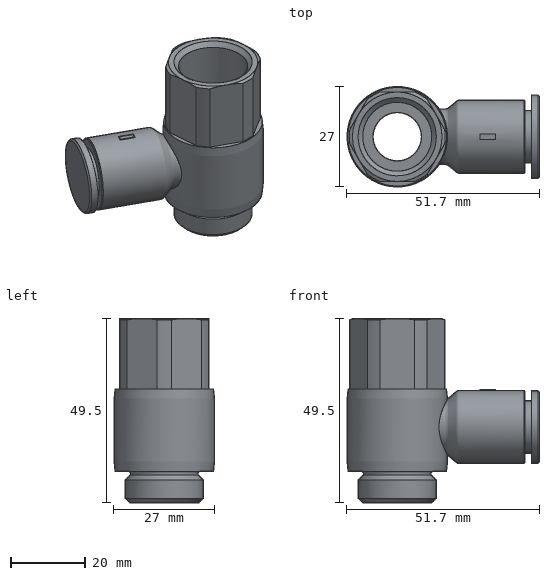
import cadquery as cq
import math

body_radius = 13.5
body_bottom = 8.45
body_top = 30.6
body_taper_height = 2.6
body_taper_depth = 0.25

spigot_radius = 10.5
spigot_chamfer = 1.25
undercut_bottom = 7.55
undercut_radius = 9.1
undercut_fillet = 0.45

total_height = 49.5
hex_sides = 6
hex_across_flats = 24.0
hex_corner_radius = 12.85
hex_chamfer_height = 0.35

through_radius = 6.45
socket_radius = 9.25
socket_depth = 15.0
socket_mouth_radius = spigot_radius

branch_z = 20.35
branch_end = 38.2
stub_radius = 7.5
stub_end = 13.45
barrel_radius = 9.8
barrel_end = 34.3
shoulder_angle = 40.0
shoulder_fillet = 1.0
barrel_chamfer = 0.25
neck_radius = 7.1

collar_thickness = 2.2
collar_half_width = 11.25
collar_half_height = 9.75
collar_chamfer = 0.45

mark_start = 22.3
mark_length = 4.1
mark_width = 1.5
mark_height = 0.2


def make_sleeve():
    height = body_top - body_bottom
    end_radius = body_radius - body_taper_depth
    profile = (
        cq.Workplane("XZ", origin=(0, 0, body_bottom))
        .lineTo(end_radius, 0)
        .lineTo(body_radius, body_taper_height)
        .lineTo(body_radius, height - body_taper_height)
        .lineTo(end_radius, height)
        .lineTo(0, height)
        .close()
    )
    return profile.revolve(360, (0, 0, 0), (0, 1, 0))


def make_spigot():
    flank_height = spigot_radius - undercut_radius
    fillet_start = body_bottom - undercut_fillet
    fillet_reach = undercut_fillet * (1 - math.sqrt(0.5))
    profile = (
        cq.Workplane("XZ")
        .lineTo(spigot_radius - spigot_chamfer, 0)
        .lineTo(spigot_radius, spigot_chamfer)
        .lineTo(spigot_radius, undercut_bottom - flank_height)
        .lineTo(undercut_radius, undercut_bottom)
        .lineTo(undercut_radius, fillet_start)
        .threePointArc(
            (undercut_radius + fillet_reach, body_bottom - fillet_reach),
            (undercut_radius + undercut_fillet, body_bottom),
        )
        .lineTo(0, body_bottom)
        .close()
    )
    return profile.revolve(360, (0, 0, 0), (0, 1, 0))


def make_hex_head():
    height = total_height - body_top
    corner_distance = hex_across_flats / 2 / math.cos(math.pi / hex_sides)
    corners = []
    for index in range(hex_sides):
        angle = 2 * math.pi * index / hex_sides
        corners.append((corner_distance * math.cos(angle), corner_distance * math.sin(angle)))
    hexagon = cq.Workplane("XY", origin=(0, 0, body_top)).polyline(corners).close().extrude(height)
    chamfer_width = hex_corner_radius - hex_across_flats / 2
    blank = (
        cq.Workplane("XY", origin=(0, 0, body_top))
        .circle(hex_corner_radius)
        .extrude(height)
        .faces(">Z")
        .chamfer(hex_chamfer_height, chamfer_width)
    )
    return hexagon.intersect(blank)


def make_branch():
    shoulder_rise = barrel_radius - stub_radius
    shoulder_end = stub_end + shoulder_rise / math.tan(math.radians(shoulder_angle))
    collar_start = branch_end - collar_thickness

    barrel_profile = (
        cq.Workplane("XZ", origin=(0, 0, branch_z))
        .lineTo(0, stub_radius)
        .lineTo(stub_end, stub_radius)
        .lineTo(shoulder_end, barrel_radius)
        .lineTo(barrel_end, barrel_radius)
        .lineTo(barrel_end, 0)
        .close()
    )
    barrel = barrel_profile.revolve(360, (0, 0, 0), (1, 0, 0))
    barrel = barrel.faces(">X").edges().chamfer(barrel_chamfer)
    shoulder = cq.selectors.BoxSelector(
        (stub_end - shoulder_fillet, -body_radius, 0),
        (shoulder_end + shoulder_fillet, body_radius, total_height),
        boundingbox=True,
    )
    barrel = barrel.edges(shoulder).fillet(shoulder_fillet)

    neck = (
        cq.Workplane("YZ", origin=(barrel_end, 0, branch_z))
        .circle(neck_radius)
        .extrude(collar_start - barrel_end)
    )
    collar = (
        cq.Workplane("YZ", origin=(collar_start, 0, branch_z))
        .ellipse(collar_half_width, collar_half_height)
        .extrude(collar_thickness)
        .faces(">X")
        .chamfer(collar_chamfer)
    )
    mark = (
        cq.Workplane("XY", origin=(mark_start + mark_length / 2, 0, branch_z + stub_radius))
        .rect(mark_length, mark_width)
        .extrude(barrel_radius + mark_height - stub_radius)
    )
    return barrel.union(neck).union(collar).union(mark)


def make_bores():
    through = cq.Workplane("XY").circle(through_radius).extrude(total_height)
    socket = (
        cq.Workplane("XY", origin=(0, 0, total_height - socket_depth))
        .circle(socket_radius)
        .extrude(socket_depth)
    )
    lead_in_depth = socket_mouth_radius - socket_radius
    lead_in = (
        cq.Workplane("XY", origin=(0, 0, total_height))
        .circle(socket_mouth_radius)
        .workplane(offset=-lead_in_depth)
        .circle(socket_radius)
        .loft()
    )
    return through.union(socket).union(lead_in)


solid_body = make_sleeve().union(make_spigot()).union(make_hex_head()).union(make_branch())
result = solid_body.cut(make_bores())